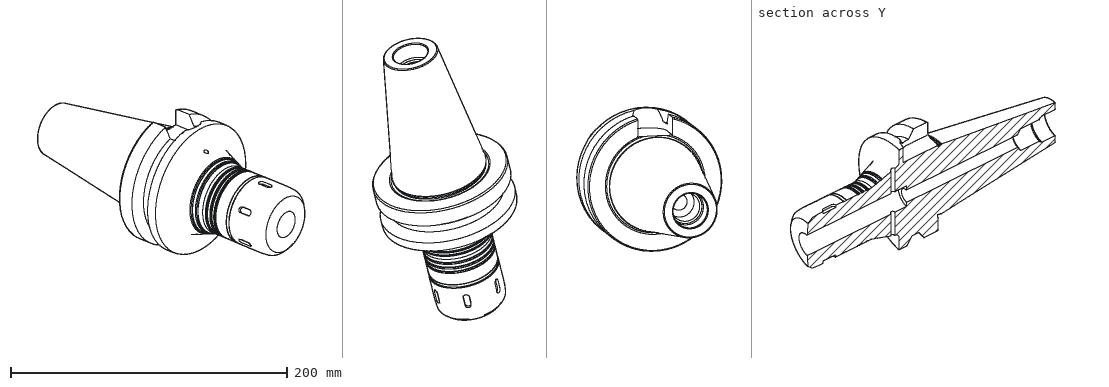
import cadquery as cq
import math

total_length = 221.8
gauge_x = 101.8
flange_start_x = 104.5
flange_end_x = 139.7
nut_start_x = 189.0

taper_ratio = 7 / 24
gauge_r = 69.9 / 2
taper_end_r = gauge_r - gauge_x * taper_ratio / 2
taper_chamfer = 0.7

neck_r = 69.0 / 2
neck_bevel = 0.7
undercut_neck_x = 103.5
undercut_depth = 0.5
undercut_floor_r = 36.2
undercut_outer_r = 37.3

flange_r = 100.0 / 2
flange_chamfer_length = 1.3
flange_chamfer_height = 0.9
flange_rear_chamfer_height = 0.2
vee_floor_r = 84.7 / 2
vee_floor_start_x = 121.8
vee_floor_end_x = 128.0
vee_flank_angle = 30.0
vee_flank_run = (flange_r - vee_floor_r) * math.tan(math.radians(vee_flank_angle))

slot_width = 26.0
slot_end_x = 135.7
slot_floor_z = 35.3

body_r = 51.7 / 2
cone_end_x = 164.1
cone_angle = 20.0
cone_fillet_r = 4.0
cone_slope = math.tan(math.radians(cone_angle))
ring_groove_width = 1.8
ring_groove_depth = 0.33
ring_groove_flank = 0.7
ring_groove_starts = (154.8, 158.8, 166.8, 171.0, 174.8)

nut_r = 52.0 / 2
nut_gap_r = 51.0 / 2
nut_gap_width = 2.2
nut_bevel_length = 0.7
nose_taper_x = 211.2
nose_round_x = 216.0
nose_round_r = 25.5
nose_bevel_x = 218.5
nose_bevel_r = 24.0
nose_edge_x = 219.8
nose_edge_r = 22.8
nose_r = 43.0 / 2
nose_x = total_length - 0.7
nut_slot_x = 201.8
nut_slot_length = 11.3
nut_slot_width = 4.5
nut_slot_depth = 2.2
nut_slot_count = 6

cross_hole_d = 3.3
cross_hole_x = 145.0

drawbar_bore_r = 25.5 / 2
drawbar_bore_depth = 12.2
drawbar_chamfer = 0.7
seat_r = 24.0 / 2
seat_x = 13.5
pilot_r = 21.0 / 2
pilot_start_x = 14.5
pilot_end_x = 31.0
through_r = 12.0 / 2
drill_half_angle = 59.0
drill_tip_length = (pilot_r - through_r) / math.tan(math.radians(drill_half_angle))
through_start_x = pilot_end_x + drill_tip_length
clamp_bore_r = 20.0 / 2
clamp_bore_start_x = 133.0


def cone_radius(x):
    """Outer radius between the flange and the nut at station x."""
    return body_r + max(0.0, cone_end_x - x) * cone_slope


def outer_body():
    """Solid of revolution of the holder and nut, without grooves and bores."""
    fillet_end_x = flange_end_x + cone_fillet_r * (1 - math.sin(math.radians(cone_angle)))
    fillet_end_r = cone_radius(fillet_end_x)
    fillet_face_r = fillet_end_r + cone_fillet_r * math.cos(math.radians(cone_angle))
    profile = (
        cq.Workplane("XY")
        .moveTo(0, 0)
        .lineTo(0, taper_end_r - taper_chamfer)
        .lineTo(taper_chamfer, taper_end_r + taper_chamfer * taper_ratio / 2)
        .lineTo(gauge_x, gauge_r)
        .lineTo(gauge_x + neck_bevel, neck_r)
        .lineTo(undercut_neck_x, neck_r)
        .lineTo(flange_start_x + undercut_depth, neck_r - undercut_depth)
        .lineTo(flange_start_x + undercut_depth, undercut_floor_r)
        .lineTo(flange_start_x, undercut_outer_r)
        .lineTo(flange_start_x, flange_r - flange_chamfer_height)
        .lineTo(flange_start_x + flange_chamfer_length, flange_r)
        .lineTo(vee_floor_start_x - vee_flank_run, flange_r)
        .lineTo(vee_floor_start_x, vee_floor_r)
        .lineTo(vee_floor_end_x, vee_floor_r)
        .lineTo(vee_floor_end_x + vee_flank_run, flange_r)
        .lineTo(flange_end_x - flange_chamfer_length, flange_r)
        .lineTo(flange_end_x, flange_r - flange_rear_chamfer_height)
        .lineTo(flange_end_x, fillet_face_r)
        .tangentArcPoint((fillet_end_x, fillet_end_r), relative=False)
        .lineTo(cone_end_x, body_r)
        .lineTo(nut_start_x - nut_gap_width, body_r)
        .lineTo(nut_start_x - nut_gap_width, nut_gap_r)
        .lineTo(nut_start_x, nut_gap_r)
        .lineTo(nut_start_x + nut_bevel_length, nut_r)
        .lineTo(nose_taper_x, nut_r)
        .lineTo(nose_round_x, nose_round_r)
        .tangentArcPoint((nose_bevel_x, nose_bevel_r), relative=False)
        .lineTo(nose_edge_x, nose_edge_r)
        .lineTo(nose_x, nose_r)
        .lineTo(total_length, clamp_bore_r)
        .lineTo(total_length, 0)
        .close()
    )
    return profile.revolve(360, (0, 0, 0), (1, 0, 0))


def ring_groove(start_x):
    """Shallow ring cutter with one sloped flank."""
    end_x = start_x + ring_groove_width
    outside_r = cone_radius(start_x)
    floor_x = start_x + ring_groove_flank
    profile = (
        cq.Workplane("XY")
        .moveTo(start_x, outside_r)
        .lineTo(floor_x, cone_radius(floor_x) - ring_groove_depth)
        .lineTo(end_x, cone_radius(end_x) - ring_groove_depth)
        .lineTo(end_x, outside_r)
        .close()
    )
    return profile.revolve(360, (0, 0, 0), (1, 0, 0))


def drive_slot():
    """Round-ended key slot cutter, open toward the taper and outward along +Z."""
    slot_start_x = gauge_x
    round_center_x = slot_end_x - slot_width / 2
    return (
        cq.Workplane("XY", origin=(0, 0, slot_floor_z))
        .moveTo(slot_start_x, -slot_width / 2)
        .lineTo(round_center_x, -slot_width / 2)
        .threePointArc((slot_end_x, 0), (round_center_x, slot_width / 2))
        .lineTo(slot_start_x, slot_width / 2)
        .close()
        .extrude(flange_r)
    )


def nut_slot(angle):
    """Wrench slot cutter in the nut, turned about X."""
    slot = (
        cq.Workplane("XY", origin=(nut_slot_x, 0, nut_r - nut_slot_depth))
        .slot2D(nut_slot_length, nut_slot_width)
        .extrude(2 * nut_slot_depth)
    )
    return slot.rotate((0, 0, 0), (1, 0, 0), angle)


def inner_bores():
    """Stepped bore from the drawbar end through to the clamping bore."""
    profile = (
        cq.Workplane("XY")
        .moveTo(0, 0)
        .lineTo(0, drawbar_bore_r + drawbar_chamfer)
        .lineTo(drawbar_chamfer, drawbar_bore_r)
        .lineTo(drawbar_bore_depth, drawbar_bore_r)
        .lineTo(seat_x, seat_r)
        .lineTo(pilot_start_x, pilot_r)
        .lineTo(pilot_end_x, pilot_r)
        .lineTo(through_start_x, through_r)
        .lineTo(clamp_bore_start_x, through_r)
        .lineTo(clamp_bore_start_x, clamp_bore_r)
        .lineTo(total_length, clamp_bore_r)
        .lineTo(total_length, 0)
        .close()
    )
    return profile.revolve(360, (0, 0, 0), (1, 0, 0))


def cross_hole():
    """Radial drilling through both walls along Z."""
    return (
        cq.Workplane("XY", origin=(cross_hole_x, 0, -flange_r))
        .circle(cross_hole_d / 2)
        .extrude(2 * flange_r)
    )


result = outer_body()
for groove_x in ring_groove_starts:
    result = result.cut(ring_groove(groove_x))
result = result.cut(drive_slot())
for index in range(nut_slot_count):
    result = result.cut(nut_slot(index * 360 / nut_slot_count))
result = result.cut(cross_hole()).cut(inner_bores())